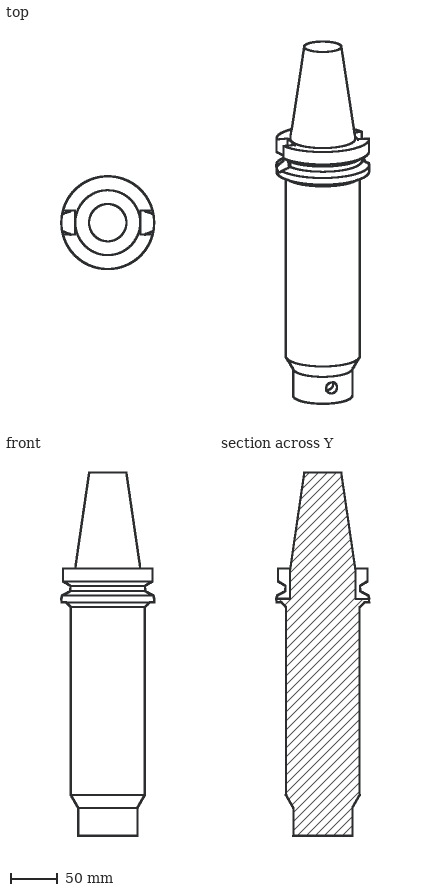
import cadquery as cq


gauge_diameter = 69.85
taper_length = 101.8
taper_ratio = 7 / 24
tip_diameter = gauge_diameter - taper_ratio * taper_length

flange_diameter = 100.0
flange_top_z = -1.5
flange_bottom_z = -38.0
groove_diameter = 84.5
groove_middle_z = -23.0
groove_floor_width = 5.8
groove_mouth_width = 15.2
flange_underside_diameter = 90.0

body_diameter = 80.0
nose_diameter = 64.0
nose_bottom_z = -289.0
nose_length = 30.3
shoulder_length = 14.0
collar_length = (flange_underside_diameter - body_diameter) / 2

slot_width = 25.7
slot_floor_distance = 35.4
slot_bottom_z = -34.0

screw_hole_diameter = 12.3
screw_hole_depth = 14.0
screw_hole_height = 17.5


def make_body():
    """Revolve the half profile of the holder around Z."""
    nose_top_z = nose_bottom_z + nose_length
    profile = [
        (0, taper_length),
        (tip_diameter / 2, taper_length),
        (gauge_diameter / 2, 0),
        (gauge_diameter / 2, flange_top_z),
        (flange_diameter / 2, flange_top_z),
        (flange_diameter / 2, groove_middle_z + groove_mouth_width / 2),
        (groove_diameter / 2, groove_middle_z + groove_floor_width / 2),
        (groove_diameter / 2, groove_middle_z - groove_floor_width / 2),
        (flange_diameter / 2, groove_middle_z - groove_mouth_width / 2),
        (flange_diameter / 2, flange_bottom_z),
        (flange_underside_diameter / 2, flange_bottom_z),
        (body_diameter / 2, flange_bottom_z - collar_length),
        (body_diameter / 2, nose_top_z + shoulder_length),
        (nose_diameter / 2, nose_top_z),
        (nose_diameter / 2, nose_bottom_z),
        (0, nose_bottom_z),
    ]
    return cq.Workplane("XZ").polyline(profile).close().revolve(360, (0, 0), (0, 1))


def make_drive_slot(side):
    """Cutter for the round-bottomed slot on the +X (side = 1) or -X (side = -1) rim."""
    half_width = slot_width / 2
    arc_center_z = slot_bottom_z + half_width
    slot_depth = flange_diameter / 2 - slot_floor_distance
    return (
        cq.Workplane("YZ", origin=(side * slot_floor_distance, 0, 0))
        .moveTo(-half_width, 0)
        .lineTo(-half_width, arc_center_z)
        .threePointArc((0, slot_bottom_z), (half_width, arc_center_z))
        .lineTo(half_width, 0)
        .close()
        .extrude(side * slot_depth)
    )


def make_screw_hole():
    """Cutter for the radial blind hole entering the nose from +Y."""
    nose_radius = nose_diameter / 2
    hole_z = nose_bottom_z + screw_hole_height
    return (
        cq.Workplane("XZ", origin=(0, nose_radius, hole_z))
        .circle(screw_hole_diameter / 2)
        .extrude(screw_hole_depth)
    )


result = make_body()
for side in (1, -1):
    result = result.cut(make_drive_slot(side))
result = result.cut(make_screw_hole())